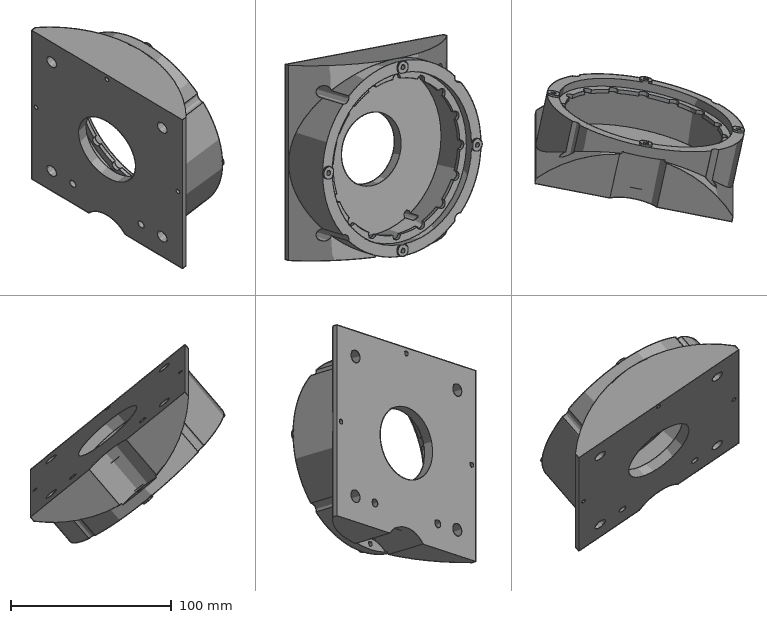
import cadquery as cq
import math

plate_size = 125.0
half_size = plate_size / 2
edge_thickness = 3.5

bulge_depth = 31.0

housing_depth = 37.8
housing_diameter = plate_size

cavity_diameter = 110.0
front_wall = 7.0
lip_front = 30.0
lip_thickness = 2.5
lip_bore_diameter = 100.0
scallop_diameter = 6.0
scallop_count = 16

center_hole_diameter = 47.0
corner_hole_diameter = 8.0
corner_hole_offset = 45.8
pilot_hole_diameter = 5.0
pilot_hole_x = 28.2
pilot_hole_z = -46.0
pilot_hole_depth = 15.0
drill_tip_angle = 118.0

relief_diameter = 38.0
relief_center_z = -74.2
relief_depth = bulge_depth

pad_diameter = 8.0
pad_height = 1.2
pad_offset = half_size - pad_diameter / 2
pad_hole_diameter = 3.0
pad_hole_offset = 58.8
total_depth = housing_depth + pad_height


def cylinder(diameter, y_start, y_end, x=0.0, z=0.0):
    """Solid cylinder along Y."""
    start = cq.Vector(x, y_start, z)
    direction = cq.Vector(0, 1, 0)
    solid = cq.Solid.makeCylinder(diameter / 2, y_end - y_start, start, direction)
    return cq.Workplane(solid)


def bulged_plate():
    """Square plate whose back swells toward the middle."""
    return (
        cq.Workplane("XY", origin=(0, 0, -half_size))
        .moveTo(-half_size, 0)
        .lineTo(half_size, 0)
        .lineTo(half_size, edge_thickness)
        .threePointArc((0, bulge_depth), (-half_size, edge_thickness))
        .close()
        .extrude(plate_size)
    )


def hollow():
    """Front cavity, scalloped lip opening and rear recess."""
    lip_back = lip_front + lip_thickness
    space = cylinder(cavity_diameter, front_wall, lip_front)
    space = space.union(cylinder(lip_bore_diameter, front_wall, housing_depth))
    space = space.union(cylinder(cavity_diameter, lip_back, housing_depth))
    lip_radius = lip_bore_diameter / 2
    for index in range(scallop_count):
        angle = 2 * math.pi * index / scallop_count
        x = lip_radius * math.cos(angle)
        z = lip_radius * math.sin(angle)
        space = space.union(cylinder(scallop_diameter, lip_front, lip_back, x, z))
    return space


def pilot_hole(x):
    """Blind drilled hole with a conical tip."""
    radius = pilot_hole_diameter / 2
    tip_length = radius / math.tan(math.radians(drill_tip_angle / 2))
    tip_start = cq.Vector(x, pilot_hole_depth, pilot_hole_z)
    tip = cq.Solid.makeCone(radius, 0, tip_length, tip_start, cq.Vector(0, 1, 0))
    shaft = cylinder(pilot_hole_diameter, 0, pilot_hole_depth, x, pilot_hole_z)
    return shaft.union(cq.Workplane(tip))


def cross_positions(offset):
    """Points right, left, above and below the center."""
    return [(offset, 0), (-offset, 0), (0, offset), (0, -offset)]


def pad(x, z):
    """Low round pad on the rear face, stopping where the open recess begins."""
    full_pad = cylinder(pad_diameter, housing_depth, total_depth, x, z)
    return full_pad.cut(cylinder(cavity_diameter, housing_depth, total_depth))


result = bulged_plate().union(cylinder(housing_diameter, 0, housing_depth))
for x, z in cross_positions(pad_offset):
    result = result.union(pad(x, z))

result = result.cut(hollow())
result = result.cut(cylinder(center_hole_diameter, 0, front_wall))
result = result.cut(cylinder(relief_diameter, 0, relief_depth, 0, relief_center_z))

for x in (-corner_hole_offset, corner_hole_offset):
    for z in (-corner_hole_offset, corner_hole_offset):
        result = result.cut(cylinder(corner_hole_diameter, 0, housing_depth, x, z))

for x in (-pilot_hole_x, pilot_hole_x):
    result = result.cut(pilot_hole(x))

for x, z in cross_positions(pad_hole_offset):
    result = result.cut(cylinder(pad_hole_diameter, 0, total_depth, x, z))